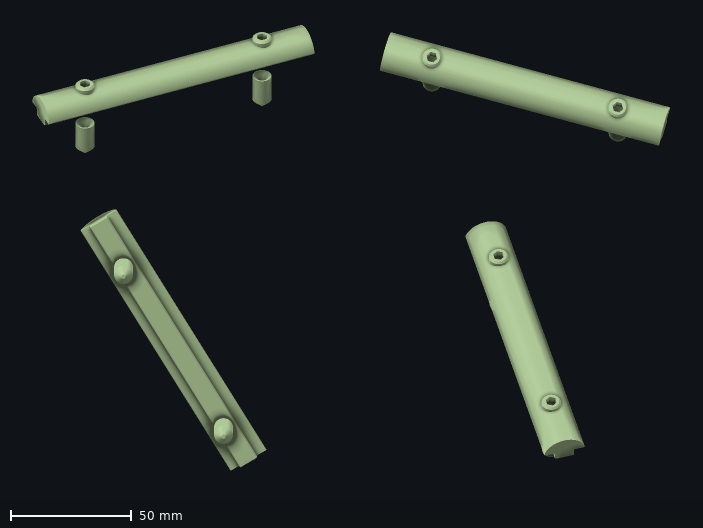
import cadquery as cq
import math

bar_length = 120.0
bar_height = 10.9
dome_radius = 9.0
stem_width = 8.3
stem_height = 3.6
stem_edge_radius = 0.7
stem_root_radius = 0.6
wing_tip_radius = 0.6

screw_diameter = 8.0
screw_length = 12.0
screw_top = 12.8
screw_chamfer = 0.7
hex_across_flats = 4.1
hex_depth = 4.8
socket_cone_depth = 1.2

pin_diameter = 7.8
pin_length = 15.0
pin_top = -7.3
point_height = 3.0
point_tip_diameter = 1.8
cup_diameter = 6.6
cup_depth = cup_diameter / 2

station_spacing = 80.0
stations = [-station_spacing / 2, station_spacing / 2]

hex_across_corners = hex_across_flats / math.cos(math.pi / 6)
screw_bottom = screw_top - screw_length


def make_bar():
    """Extrude the domed T profile and bore the screw holes."""
    dome_center = bar_height - dome_radius
    wing_half_width = math.sqrt(dome_radius**2 - (stem_height - dome_center) ** 2)
    stem_half_width = stem_width / 2
    bar = (
        cq.Workplane("XZ", origin=(0, bar_length / 2, 0))
        .moveTo(-stem_half_width, 0)
        .lineTo(stem_half_width, 0)
        .lineTo(stem_half_width, stem_height)
        .lineTo(wing_half_width, stem_height)
        .threePointArc((0, bar_height), (-wing_half_width, stem_height))
        .lineTo(-stem_half_width, stem_height)
        .close()
        .extrude(bar_length)
    )
    bar = bar.edges("|Y").edges("<X or >X").fillet(wing_tip_radius)
    bar = bar.faces("<Z").edges("|Y").fillet(stem_edge_radius)
    for side in (-1, 1):
        root = cq.selectors.NearestToPointSelector((side * stem_half_width, 0, stem_height))
        bar = bar.edges(root).fillet(stem_root_radius)
    holes = (
        cq.Workplane("XY", origin=(0, 0, screw_bottom))
        .pushPoints([(0, y) for y in stations])
        .circle(screw_diameter / 2)
        .extrude(screw_length)
    )
    return bar.cut(holes)


def make_screw(y):
    """Set screw with a chamfered top and a cone-bottomed hex socket."""
    body = (
        cq.Workplane("XY", origin=(0, y, screw_bottom))
        .circle(screw_diameter / 2)
        .extrude(screw_length)
        .faces(">Z")
        .chamfer(screw_chamfer)
    )
    socket = (
        cq.Workplane("XY", origin=(0, y, screw_top))
        .transformed(rotate=(0, 0, 90))
        .polygon(6, hex_across_corners)
        .extrude(-hex_depth)
    )
    socket_cone = cq.Solid.makeCone(
        hex_across_flats / 2, 0, socket_cone_depth,
        cq.Vector(0, y, screw_top - hex_depth), cq.Vector(0, 0, -1),
    )
    return body.cut(socket).cut(cq.Workplane(socket_cone))


def make_pin(y):
    """Round pin with a blunt conical point below and a conical cup on top."""
    shank_bottom = pin_top - pin_length + point_height
    pin_radius = pin_diameter / 2
    profile = [
        (0, pin_top - cup_depth),
        (cup_diameter / 2, pin_top),
        (pin_radius, pin_top),
        (pin_radius, shank_bottom),
        (point_tip_diameter / 2, pin_top - pin_length),
        (0, pin_top - pin_length),
    ]
    return cq.Workplane("XZ", origin=(0, y, 0)).polyline(profile).close().revolve(360, (0, 0), (0, 1))


bar = make_bar()
screws = [make_screw(y) for y in stations]
pins = [make_pin(y) for y in stations]

result = cq.Compound.makeCompound(
    [bar.val()] + [screw.val() for screw in screws] + [pin.val() for pin in pins]
)